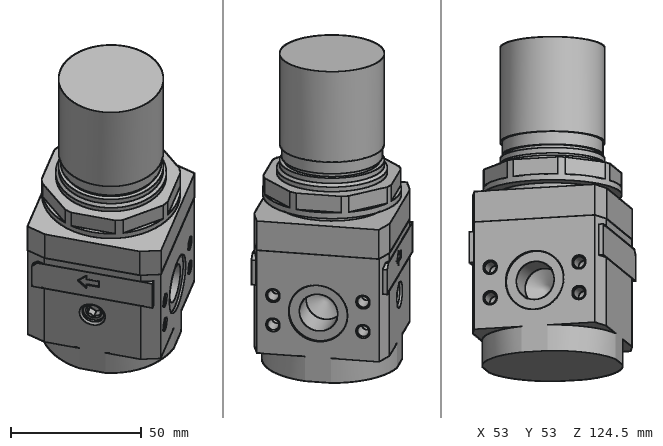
import cadquery as cq
import math


COVER_WIDTH = 53.0
BODY_WIDTH = 52.8
SIDE_FACE_HALF_WIDTH = 23.8
FRONT_FACE_HALF_WIDTH = 18.8

BASE_TOP = 10.1
BODY_TOP = 52.0
COVER_TOP = 64.0
NUT_BOTTOM = 67.0
NUT_FLANGE_TOP = 69.3
NUT_TOP = 76.0
NECK_TOP = 78.9
COLLAR_TOP = 81.0
GROOVE_TOP = 82.5
SKIRT_TOP = 87.5
KNOB_TOP = 124.5

BASE_RADIUS = 26.9
NECK_RADIUS = 21.2
KNOB_RADIUS = 20.0
SKIRT_RADIUS = 19.3
GROOVE_RADIUS = 18.3
NUT_RADIUS = COVER_WIDTH / 2
NUT_ACROSS_FLATS = 50.0
NUT_FLATS = 8

PLATE_WIDTH = 47.8
PLATE_BOTTOM = 36.9
PLATE_TOP = 48.9
PLATE_CORNER = 2.0
PLATE_OUTER_Y = COVER_WIDTH / 2
PLATE_INNER_Y = SIDE_FACE_HALF_WIDTH

ARROW_Z = 43.8
ARROW_TIP_X = -5.7
ARROW_HEAD_X = -2.4
ARROW_TAIL_X = 2.6
ARROW_HEAD_HALF_HEIGHT = 3.0
ARROW_SHAFT_HALF_HEIGHT = 1.4
ARROW_DEPTH = 0.5

PORT_Z = 28.0
PORT_RECESS_RADIUS = 11.5
PORT_RECESS_DEPTH = 1.0
PORT_RADIUS = 7.5
PORT_DEPTH = 14.0
DRILL_TIP_ANGLE = 118.0

MOUNT_SPACING_Y = 35.1
MOUNT_SPACING_Z = 12.0
MOUNT_RADIUS = 2.2
MOUNT_RIM_RADIUS = 2.7
MOUNT_DEPTH = 8.0

GAUGE_RIM_RADIUS = 5.1
GAUGE_RADIUS = 4.2
GAUGE_DEPTH = 2.0
SOCKET_RIM_RADIUS = 3.1
SOCKET_ACROSS_FLATS = 5.0
SOCKET_FLATS = 6
SOCKET_DEPTH = 5.7


def cornered_prism(bottom, top):
    """Square block of the cover width with a shallow slope across each vertical corner."""
    half = COVER_WIDTH / 2
    outline = [
        (half, -SIDE_FACE_HALF_WIDTH),
        (half, SIDE_FACE_HALF_WIDTH),
        (FRONT_FACE_HALF_WIDTH, half),
        (-FRONT_FACE_HALF_WIDTH, half),
        (-half, SIDE_FACE_HALF_WIDTH),
        (-half, -SIDE_FACE_HALF_WIDTH),
        (-FRONT_FACE_HALF_WIDTH, -half),
        (FRONT_FACE_HALF_WIDTH, -half),
    ]
    return cq.Workplane("XY").workplane(offset=bottom).polyline(outline).close().extrude(top - bottom)


def cylinder(radius, bottom, top):
    """Upright cylinder on the Z axis."""
    return cq.Workplane("XY").workplane(offset=bottom).circle(radius).extrude(top - bottom)


def regular_prism(across_flats, sides, bottom, top):
    """Upright prism with the given size across its flats, two of which face +X and -X."""
    corner_diameter = across_flats / math.cos(math.pi / sides)
    prism = cq.Workplane("XY").polygon(sides, corner_diameter).extrude(top - bottom)
    return prism.rotate((0, 0, 0), (0, 0, 1), 180 / sides).translate((0, 0, bottom))


def turned(profile):
    """Solid of revolution about Z from (radius, z) points; both ends lie on the axis."""
    return cq.Workplane("XZ").polyline(profile).close().revolve(360, (0, 0), (0, 1))


def drilled_profile(radius, depth):
    """Profile points of a blind hole below z = 0, from its wall to its conical tip."""
    tip_depth = depth + radius / math.tan(math.radians(DRILL_TIP_ANGLE / 2))
    return [(radius, -depth), (0, -tip_depth)]


def onto_side(tool, y, z):
    """Turn a hole tool that sinks along -Z so that it sinks from the -X face."""
    return tool.rotate((0, 0, 0), (0, 1, 0), -90).translate((-BODY_WIDTH / 2, y, z))


def port_tools():
    """Recessed port and its four mounting holes, in the -X face."""
    port = turned([
        (0, 0),
        (PORT_RECESS_RADIUS, 0),
        (PORT_RECESS_RADIUS, -PORT_RECESS_DEPTH),
        (PORT_RADIUS, -PORT_RECESS_DEPTH),
        *drilled_profile(PORT_RADIUS, PORT_DEPTH),
    ])
    mount = turned([
        (0, 0),
        (MOUNT_RIM_RADIUS, 0),
        (MOUNT_RADIUS, MOUNT_RADIUS - MOUNT_RIM_RADIUS),
        *drilled_profile(MOUNT_RADIUS, MOUNT_DEPTH),
    ])
    tools = [onto_side(port, 0, PORT_Z)]
    for y in (-MOUNT_SPACING_Y / 2, MOUNT_SPACING_Y / 2):
        for z in (PORT_Z - MOUNT_SPACING_Z / 2, PORT_Z + MOUNT_SPACING_Z / 2):
            tools.append(onto_side(mount, y, z))
    return tools


def gauge_tool():
    """Countersunk gauge port in the -Y face, with a hexagon socket in its floor."""
    socket_flat_radius = SOCKET_ACROSS_FLATS / 2
    socket_rim_depth = SOCKET_RIM_RADIUS - socket_flat_radius
    opening = turned([
        (0, 0),
        (GAUGE_RIM_RADIUS, 0),
        (GAUGE_RADIUS, GAUGE_RADIUS - GAUGE_RIM_RADIUS),
        (GAUGE_RADIUS, -GAUGE_DEPTH),
        (SOCKET_RIM_RADIUS, -GAUGE_DEPTH),
        (socket_flat_radius, -GAUGE_DEPTH - socket_rim_depth),
        (0, -GAUGE_DEPTH - socket_rim_depth),
    ])
    socket = regular_prism(SOCKET_ACROSS_FLATS, SOCKET_FLATS, -SOCKET_DEPTH, -GAUGE_DEPTH)
    tool = opening.union(socket)
    return tool.rotate((0, 0, 0), (1, 0, 0), 90).translate((0, -BODY_WIDTH / 2, PORT_Z))


def front_plate():
    """Label plate of the -Y face, with one cut corner, before the arrow is engraved."""
    half = PLATE_WIDTH / 2
    return (
        cq.Workplane("XZ", origin=(0, -PLATE_INNER_Y, 0))
        .moveTo(-half, PLATE_BOTTOM)
        .lineTo(half, PLATE_BOTTOM)
        .lineTo(half, PLATE_TOP)
        .lineTo(-half + PLATE_CORNER, PLATE_TOP)
        .lineTo(-half, PLATE_TOP - PLATE_CORNER)
        .close()
        .extrude(PLATE_OUTER_Y - PLATE_INNER_Y)
    )


def arrow_tool():
    """Flow arrow, sunk into the outer face of the front plate."""
    outline = [
        (ARROW_TIP_X, 0),
        (ARROW_HEAD_X, ARROW_HEAD_HALF_HEIGHT),
        (ARROW_HEAD_X, ARROW_SHAFT_HALF_HEIGHT),
        (ARROW_TAIL_X, ARROW_SHAFT_HALF_HEIGHT),
        (ARROW_TAIL_X, -ARROW_SHAFT_HALF_HEIGHT),
        (ARROW_HEAD_X, -ARROW_SHAFT_HALF_HEIGHT),
        (ARROW_HEAD_X, -ARROW_HEAD_HALF_HEIGHT),
    ]
    plane = cq.Workplane("XZ", origin=(0, -PLATE_OUTER_Y, ARROW_Z))
    return plane.polyline(outline).close().extrude(-ARROW_DEPTH)


def make_body():
    """Valve body on a round base that is flattened by the four side faces."""
    square = cq.Workplane("XY").rect(BODY_WIDTH, BODY_WIDTH).extrude(BODY_TOP)
    base = cylinder(BASE_RADIUS, 0, BASE_TOP)
    body = base.union(cornered_prism(BASE_TOP, BODY_TOP)).intersect(square)

    plate = front_plate()
    body = body.union(plate).union(plate.mirror("XZ"))
    body = body.cut(arrow_tool())

    for tool in port_tools():
        body = body.cut(tool).cut(tool.mirror("YZ"))
    return body.cut(gauge_tool())


def make_bonnet():
    """Square cover with the neck for the nut and the adjusting knob above it."""
    stem = turned([
        (0, BODY_TOP),
        (NECK_RADIUS, BODY_TOP),
        (NECK_RADIUS, NECK_TOP - (NECK_RADIUS - KNOB_RADIUS)),
        (KNOB_RADIUS, NECK_TOP),
        (KNOB_RADIUS, COLLAR_TOP),
        (GROOVE_RADIUS, COLLAR_TOP),
        (GROOVE_RADIUS, GROOVE_TOP),
        (SKIRT_RADIUS, GROOVE_TOP),
        (SKIRT_RADIUS, SKIRT_TOP),
        (KNOB_RADIUS, SKIRT_TOP),
        (KNOB_RADIUS, KNOB_TOP),
        (0, KNOB_TOP),
    ])
    return cornered_prism(BODY_TOP, COVER_TOP).union(stem)


def make_nut():
    """Flanged ring with eight flats, fitting around the neck of the bonnet."""
    flange = cylinder(NUT_RADIUS, NUT_BOTTOM, NUT_FLANGE_TOP)
    flats = regular_prism(NUT_ACROSS_FLATS, NUT_FLATS, NUT_FLANGE_TOP, NUT_TOP)
    collar = cylinder(NUT_RADIUS, NUT_FLANGE_TOP, NUT_TOP).intersect(flats)
    bore = cylinder(NECK_RADIUS, NUT_BOTTOM, NUT_TOP)
    return flange.union(collar).cut(bore)


body = make_body()
bonnet = make_bonnet()
nut = make_nut()

result = cq.Compound.makeCompound([body.val(), bonnet.val(), nut.val()])